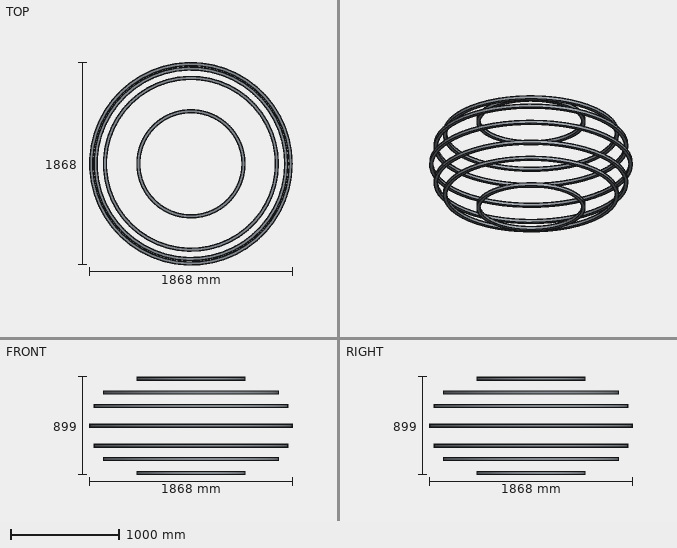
import cadquery as cq

overall_height = 899.0
bar_width = 30.0
bar_height = 30.0

equator_diameter = 1868.0
inner_pair_diameter = 1785.0
outer_pair_diameter = 1614.0
end_pair_diameter = 1000.0

inner_pair_offset = 183.0
outer_pair_offset = 306.0
end_pair_offset = (overall_height - bar_height) / 2


def make_hoop(outer_diameter, center_z):
    """Flat ring of rectangular section, centred on the Z axis."""
    outer_radius = outer_diameter / 2
    return (
        cq.Workplane("XY", origin=(0, 0, center_z - bar_height / 2))
        .circle(outer_radius)
        .circle(outer_radius - bar_width)
        .extrude(bar_height)
    )


equator_hoop = make_hoop(equator_diameter, 0)

paired_hoops = []
for diameter, offset in (
    (inner_pair_diameter, inner_pair_offset),
    (outer_pair_diameter, outer_pair_offset),
    (end_pair_diameter, end_pair_offset),
):
    for side in (-1, 1):
        paired_hoops.append(make_hoop(diameter, side * offset))

result = cq.Compound.makeCompound(
    [equator_hoop.val(), *[hoop.val() for hoop in paired_hoops]]
)